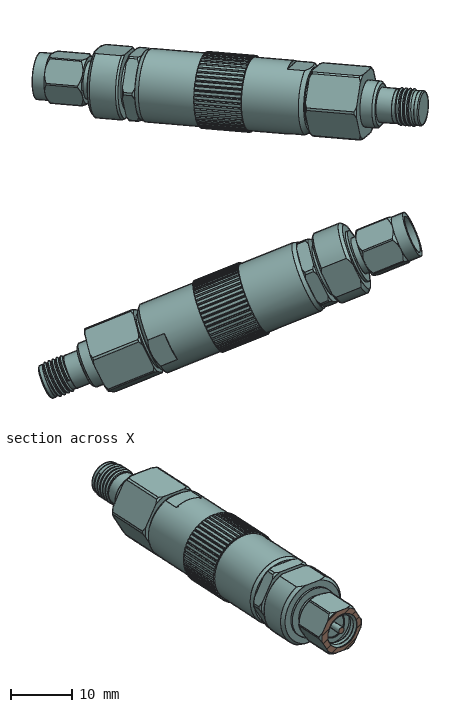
import cadquery as cq
import math

X_PLUG_HEX = 2.05
X_PLUG_NECK = 8.5
X_WASHER = 9.65
X_COLLAR = 10.0
X_COLLAR_NECK = 15.4
X_LOCKNUT = 16.1
X_BODY = 18.2
X_KNURL = 28.5
X_KNURL_END = 36.6
X_BODY_END = 47.05
X_JACK_HEX = 47.5
X_JACK_SHOULDER = 56.3
X_JACK_BARREL = 58.75
X_THREAD = 61.4
X_THREAD_END = 65.2
X_END = 66.0

R_PLUG_RING = 3.9
R_PLUG_NECK = 3.2
R_WASHER = 4.5
R_COLLAR = 6.2
R_COLLAR_NECK = 4.35
R_BODY = 6.1
R_KNURL = 6.35
R_BODY_NECK = 4.75
R_JACK_SHOULDER = 3.9
R_JACK_BARREL = 2.9

PLUG_FLATS = 2 * R_PLUG_RING
BODY_FLATS = 10.95
R_PLUG_CORNER = 4.4
R_BODY_CORNER = 6.2
X_FLAT = 43.4

PLUG_HEX_CHAMFER = 0.5
COLLAR_FRONT_CHAMFER = 0.5
COLLAR_BACK_CHAMFER = 0.3
LOCKNUT_CHAMFER = 0.3
BODY_FRONT_CHAMFER = (0.7, 0.25)
BODY_BACK_CHAMFER = (0.65, 0.8)
JACK_HEX_FRONT_CHAMFER = 0.3
JACK_HEX_BACK_CHAMFER = 0.3
SHOULDER_CHAMFER = 0.4
BARREL_CHAMFER = 0.2

KNURL_COUNT = 50
KNURL_DEPTH = 0.2
KNURL_GROOVE_SHARE = 0.4

THREAD_PITCH = 0.7
THREAD_BASE_SHARE = 0.9
THREAD_HEIGHT = 0.25
SOCKET_THREAD_HEIGHT = 0.45
THREAD_OVERLAP = 0.05
R_THREAD_CORE = 2.85

R_SOCKET = 3.2
SOCKET_DEPTH = 4.3
SOCKET_THREAD_START = 1.0
R_INSULATOR = 2.1
INSULATOR_RECESS = 0.1
R_PIN = 0.6
PIN_LENGTH = 2.85
PIN_TIP = 0.3


def rod(x_start, x_end, radius, front=(0, 0), back=(0, 0)):
    """Cylinder along X; front and back are chamfers as (length along X, radial depth)."""
    outline = [(x_start, 0), (x_start, radius - front[1])]
    if front[0] > 0:
        outline.append((x_start + front[0], radius))
    if back[0] > 0:
        outline.append((x_end - back[0], radius))
    outline += [(x_end, radius - back[1]), (x_end, 0)]
    return cq.Workplane("XY").polyline(outline).close().revolve(360, (0, 0, 0), (1, 0, 0))


def hexagon(x_start, x_end, flats, corner_radius, front, back):
    """Hexagonal nut with flats facing +Z and -Z, its corners turned down and chamfered."""
    prism = (
        cq.Workplane("YZ", origin=(x_start, 0, 0))
        .polygon(6, flats / math.cos(math.pi / 6))
        .extrude(x_end - x_start)
    )
    return prism.intersect(rod(x_start, x_end, corner_radius, (front, front), (back, back)))


def flat_slab(x_start, x_end):
    """Slab between the two wrench flats, as wide as the knurl."""
    length = x_end - x_start
    slab = cq.Workplane("XY").box(length, 2 * R_KNURL, BODY_FLATS)
    return slab.translate((x_start + length / 2, 0, 0))


def helical_ridge(x_start, x_end, root_radius, crest_radius):
    """Triangular ridge wound around X, for an outer or an inner thread."""
    half_base = THREAD_BASE_SHARE * THREAD_PITCH / 2
    path = cq.Wire.makeHelix(THREAD_PITCH, x_end - x_start - 2 * half_base, root_radius)
    ridge = (
        cq.Workplane("XZ")
        .polyline([(root_radius, -half_base), (crest_radius, 0), (root_radius, half_base)])
        .close()
        .sweep(cq.Workplane(obj=path), isFrenet=True)
    )
    return ridge.rotate((0, 0, 0), (0, 1, 0), 90).translate((x_start + half_base, 0, 0))


def make_plug():
    """Plug coupling nut with its threaded socket, insulator and centre pin."""
    pin_base = SOCKET_DEPTH + INSULATOR_RECESS
    plug = rod(0, X_PLUG_HEX, R_PLUG_RING)
    plug = plug.union(
        hexagon(X_PLUG_HEX, X_PLUG_NECK, PLUG_FLATS, R_PLUG_CORNER, PLUG_HEX_CHAMFER, PLUG_HEX_CHAMFER)
    )
    plug = plug.union(rod(X_PLUG_NECK, X_WASHER, R_PLUG_NECK))
    plug = plug.cut(rod(0, SOCKET_DEPTH, R_SOCKET))
    mouth = rod(0, pin_base, R_INSULATOR + INSULATOR_RECESS, back=(INSULATOR_RECESS, INSULATOR_RECESS))
    plug = plug.cut(mouth)
    thread_crest = R_SOCKET - SOCKET_THREAD_HEIGHT
    plug = plug.union(
        helical_ridge(SOCKET_THREAD_START, SOCKET_DEPTH, R_SOCKET + THREAD_OVERLAP, thread_crest)
    )
    return plug.union(rod(pin_base - PIN_LENGTH, pin_base, R_PIN, (PIN_TIP, PIN_TIP)))


def make_collar():
    """Washer, round collar with two flats, and the neck behind it."""
    collar = rod(
        X_COLLAR,
        X_COLLAR_NECK,
        R_COLLAR,
        (COLLAR_FRONT_CHAMFER, COLLAR_FRONT_CHAMFER),
        (COLLAR_BACK_CHAMFER, COLLAR_BACK_CHAMFER),
    )
    collar = collar.intersect(flat_slab(X_COLLAR, X_COLLAR_NECK))
    collar = collar.union(rod(X_WASHER, X_COLLAR, R_WASHER))
    return collar.union(rod(X_COLLAR_NECK, X_LOCKNUT, R_COLLAR_NECK))


def make_knurl():
    """Ring of straight V grooves running along X."""
    tooth_angle = 2 * math.pi / KNURL_COUNT
    half_land = tooth_angle * (1 - KNURL_GROOVE_SHARE) / 2

    def rim_point(radius, angle):
        return (radius * math.cos(angle), radius * math.sin(angle))

    outline = cq.Workplane("YZ", origin=(X_KNURL, 0, 0)).moveTo(R_KNURL - KNURL_DEPTH, 0)
    for i in range(KNURL_COUNT):
        land = (i + 0.5) * tooth_angle
        outline = outline.lineTo(*rim_point(R_KNURL, land - half_land))
        outline = outline.threePointArc(rim_point(R_KNURL, land), rim_point(R_KNURL, land + half_land))
        if i < KNURL_COUNT - 1:
            outline = outline.lineTo(*rim_point(R_KNURL - KNURL_DEPTH, land + tooth_angle / 2))
    return outline.close().extrude(X_KNURL_END - X_KNURL)


def make_body():
    """Locknut and main barrel with its knurl and rear wrench flats."""
    barrel = rod(X_BODY, X_BODY_END, R_BODY, BODY_FRONT_CHAMFER, BODY_BACK_CHAMFER)
    outside_flats = rod(X_FLAT, X_BODY_END, R_KNURL).cut(flat_slab(X_FLAT, X_BODY_END))
    barrel = barrel.cut(outside_flats)
    locknut = hexagon(X_LOCKNUT, X_BODY, BODY_FLATS, R_BODY_CORNER, LOCKNUT_CHAMFER, LOCKNUT_CHAMFER)
    neck = rod(X_BODY_END, X_JACK_HEX, R_BODY_NECK)
    return barrel.union(locknut).union(make_knurl()).union(neck)


def make_jack():
    """Rear hexagon, shoulder and threaded jack barrel."""
    jack = hexagon(
        X_JACK_HEX, X_JACK_SHOULDER, BODY_FLATS, R_BODY_CORNER, JACK_HEX_FRONT_CHAMFER, JACK_HEX_BACK_CHAMFER
    )
    jack = jack.union(
        rod(X_JACK_SHOULDER, X_JACK_BARREL, R_JACK_SHOULDER, back=(SHOULDER_CHAMFER, SHOULDER_CHAMFER))
    )
    jack = jack.union(rod(X_JACK_BARREL, X_THREAD, R_JACK_BARREL))
    jack = jack.union(rod(X_THREAD, X_THREAD_END, R_THREAD_CORE))
    jack = jack.union(rod(X_THREAD_END, X_END, R_JACK_BARREL, back=(BARREL_CHAMFER, BARREL_CHAMFER)))
    return jack.union(
        helical_ridge(X_THREAD, X_THREAD_END, R_THREAD_CORE - THREAD_OVERLAP, R_THREAD_CORE + THREAD_HEIGHT)
    )


result = make_plug().union(make_collar()).union(make_body()).union(make_jack())